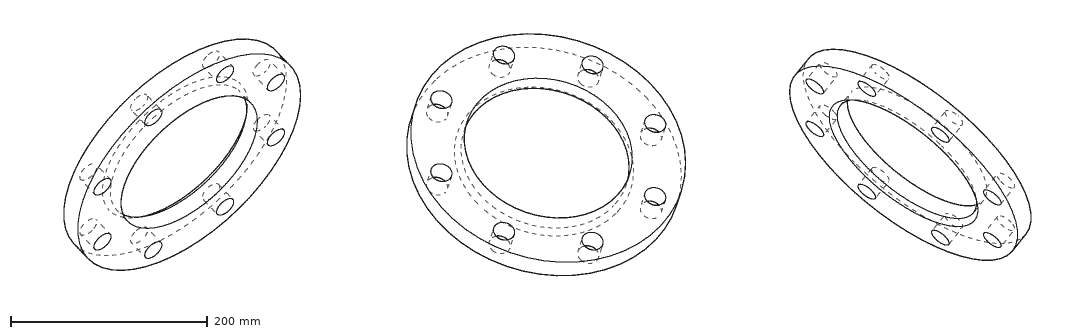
import cadquery as cq

outer_diameter = 285.0
thickness = 24.0
bore_diameter = 174.0

countersink_diameter = 185.8
countersink_depth = (countersink_diameter - bore_diameter) / 2

bolt_count = 8
bolt_hole_diameter = 22.0
bolt_circle_diameter = 240.0
first_bolt_angle = 360 / bolt_count / 2


def make_ring():
    """Revolve the ring section; sketch x is the flange axis, sketch y the radius."""
    bore_radius = bore_diameter / 2
    outer_radius = outer_diameter / 2
    front = -thickness / 2
    back = thickness / 2
    section = [
        (front, countersink_diameter / 2),
        (front, outer_radius),
        (back, outer_radius),
        (back, bore_radius),
        (front + countersink_depth, bore_radius),
    ]
    return cq.Workplane("XY").polyline(section).close().revolve(360, (0, 0), (1, 0))


def make_bolt_holes():
    """Cylinders through the full thickness, evenly spaced on the bolt circle."""
    return (
        cq.Workplane("YZ", origin=(-thickness / 2, 0, 0))
        .polarArray(bolt_circle_diameter / 2, first_bolt_angle, 360, bolt_count)
        .circle(bolt_hole_diameter / 2)
        .extrude(thickness)
    )


result = make_ring().cut(make_bolt_holes())